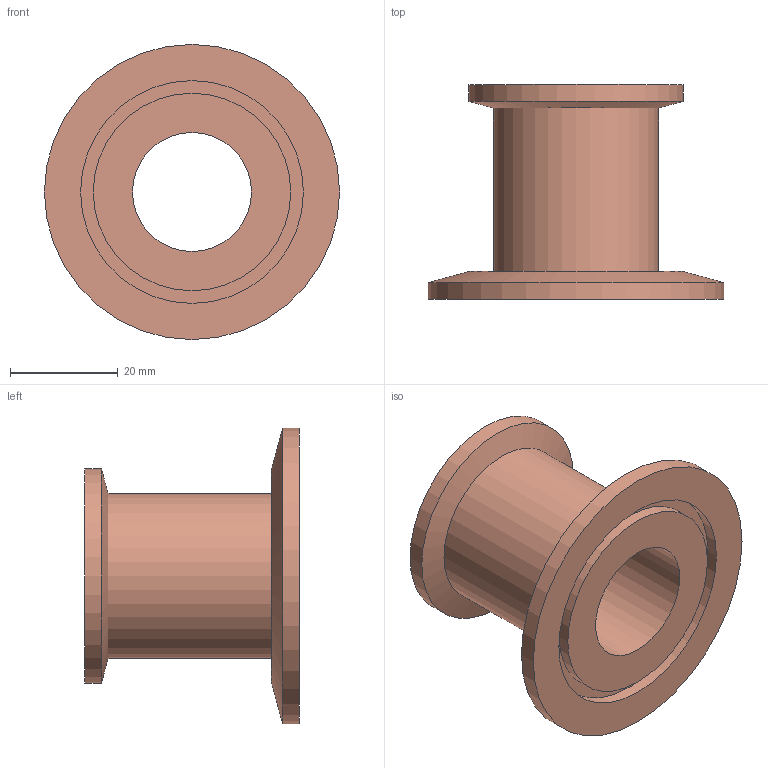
import cadquery as cq
import math

length = 39.88
bore_diameter = 22.1
tube_diameter = 30.7

large_flange_diameter = 54.86
small_flange_diameter = 39.88
rim_thickness = 3.1
clamp_angle = 15.0
large_cone_end_diameter = 39.4

groove_outer_diameter = 41.4
groove_inner_diameter = 36.7
groove_depth = 2.25


def cone_height(outer_diameter, inner_diameter):
    """Axial rise of a clamping cone between two diameters."""
    return (outer_diameter - inner_diameter) / 2 * math.tan(math.radians(clamp_angle))


def ring(outer_diameter, inner_diameter, depth):
    """Ring standing on the Y = 0 face and reaching toward +Y."""
    return (
        cq.Workplane("XZ")
        .circle(outer_diameter / 2)
        .circle(inner_diameter / 2)
        .extrude(-depth)
    )


def flanged_tube():
    """Bored tube with both flanges, revolved from its half section."""
    bore_radius = bore_diameter / 2
    tube_radius = tube_diameter / 2
    large_radius = large_flange_diameter / 2
    small_radius = small_flange_diameter / 2
    large_back = rim_thickness + cone_height(large_flange_diameter, large_cone_end_diameter)
    small_rim = length - rim_thickness
    small_back = small_rim - cone_height(small_flange_diameter, tube_diameter)
    half_section = (
        cq.Workplane("XY")
        .moveTo(bore_radius, 0)
        .lineTo(large_radius, 0)
        .lineTo(large_radius, rim_thickness)
        .lineTo(large_cone_end_diameter / 2, large_back)
        .lineTo(tube_radius, large_back)
        .lineTo(tube_radius, small_back)
        .lineTo(small_radius, small_rim)
        .lineTo(small_radius, length)
        .lineTo(bore_radius, length)
        .close()
    )
    return half_section.revolve(360, (0, 0, 0), (0, 1, 0))


face_groove = ring(groove_outer_diameter, groove_inner_diameter, groove_depth)
result = flanged_tube().cut(face_groove)